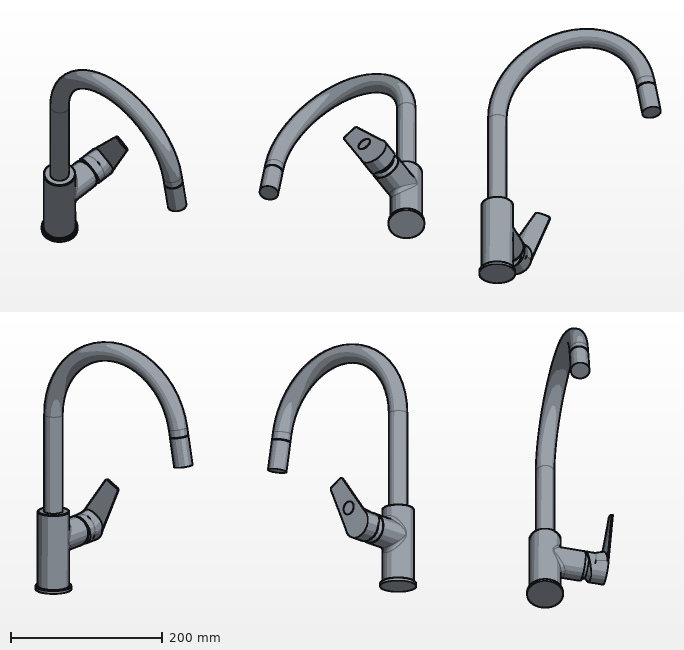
import cadquery as cq
import math

FLANGE_DIAMETER = 48.0
FLANGE_HEIGHT = 5.0
FLANGE_CHAMFER = 1.0
COLUMN_DIAMETER = 42.0
COLUMN_HEIGHT = 107.5
COLUMN_CHAMFER = 1.0

OVERALL_HEIGHT = 357.0
SPOUT_DIAMETER = 25.0
ARCH_RADIUS = 104.0
OUTLET_TILT = 10.0
OUTLET_LENGTH = 51.0
OUTLET_GROOVE_START = 10.5
OUTLET_GROOVE_WIDTH = 1.0
OUTLET_GROOVE_DIAMETER = 24.5
ARCH_CENTRE_HEIGHT = OVERALL_HEIGHT - SPOUT_DIAMETER / 2 - ARCH_RADIUS

ARM_DIAMETER = 40.0
ARM_RADIUS = ARM_DIAMETER / 2
ARM_HEIGHT = 68.0
ARM_END = 50.7
ARM_FILLET = 5.5
SEAT_BASE_RADIUS = 19.0
SEAT_TIP_RADIUS = 15.5
SEAT_LENGTH = 5.0
SEAT_END = ARM_END + SEAT_LENGTH

HANDLE_FACE = 81.8
SKIRT_HIGH_END = 51.5
SKIRT_LOW_END = 63.2
NECK_START = 61.8
LEVER_ANGLE = 60.0
LEVER_REACH = 74.3
LEVER_TIP_WIDTH = 23.0
LEVER_ROOT_HALF_WIDTH = 19.5
LEVER_RIM_THICKNESS = 2.0
LEVER_TIP_THICKNESS = 3.2
LEVER_ROOT_THICKNESS = 8.5
LEVER_CORNER_RADIUS = 3.2
FLARE_START = 64.3
FLARE_END_RADIUS = 18.5
FLARE_OFFSET = 6.5
BADGE_DIAMETER = 18.0
BADGE_HEIGHT = 0.7
BADGE_REACH = 28.0


def revolve_along_y(profile):
    """Turn (radius, y) points about the Y axis."""
    return cq.Workplane("XY").polyline(profile).close().revolve(360, (0, 0, 0), (0, 1, 0))


def make_column():
    flange = cq.Workplane("XY").circle(FLANGE_DIAMETER / 2).extrude(FLANGE_HEIGHT)
    flange = flange.faces(">Z").chamfer(FLANGE_CHAMFER)
    barrel = cq.Workplane("XY").circle(COLUMN_DIAMETER / 2).extrude(COLUMN_HEIGHT)
    barrel = barrel.faces(">Z").chamfer(COLUMN_CHAMFER)
    return flange, barrel


def make_spout():
    tilt = math.radians(OUTLET_TILT)
    arch_end = (
        ARCH_RADIUS * (1 + math.cos(tilt)),
        ARCH_CENTRE_HEIGHT + ARCH_RADIUS * math.sin(tilt),
    )
    path = (
        cq.Workplane("XZ")
        .moveTo(0, COLUMN_HEIGHT)
        .lineTo(0, ARCH_CENTRE_HEIGHT)
        .threePointArc((ARCH_RADIUS, ARCH_CENTRE_HEIGHT + ARCH_RADIUS), arch_end)
    )
    pipe = cq.Workplane("XY", origin=(0, 0, COLUMN_HEIGHT)).circle(SPOUT_DIAMETER / 2).sweep(path)

    outlet_plane = cq.Plane(
        origin=(arch_end[0], 0, arch_end[1]),
        xDir=(0, 1, 0),
        normal=(math.sin(tilt), 0, -math.cos(tilt)),
    )
    outlet = cq.Workplane(outlet_plane).circle(SPOUT_DIAMETER / 2).extrude(OUTLET_LENGTH)
    groove = (
        cq.Workplane(outlet_plane)
        .workplane(offset=OUTLET_GROOVE_START)
        .circle(SPOUT_DIAMETER / 2)
        .circle(OUTLET_GROOVE_DIAMETER / 2)
        .extrude(OUTLET_GROOVE_WIDTH)
    )
    return pipe.union(outlet.cut(groove))


def make_seat():
    seat = revolve_along_y(
        [(0, ARM_END), (SEAT_BASE_RADIUS, ARM_END), (SEAT_TIP_RADIUS, SEAT_END), (0, SEAT_END)]
    )
    return seat.translate((0, 0, ARM_HEIGHT))


def make_faucet():
    flange, barrel = make_column()
    arm = revolve_along_y([(0, 0), (ARM_RADIUS, 0), (ARM_RADIUS, ARM_END), (0, ARM_END)])
    faucet = barrel.union(arm.translate((0, 0, ARM_HEIGHT)))
    joint = cq.selectors.BoxSelector(
        (-COLUMN_DIAMETER, 0.5, ARM_HEIGHT - COLUMN_DIAMETER / 2),
        (COLUMN_DIAMETER, COLUMN_DIAMETER / 2 + 0.5, ARM_HEIGHT + COLUMN_DIAMETER / 2),
    )
    faucet = faucet.edges(joint).edges("not %LINE").fillet(ARM_FILLET)
    return faucet.union(flange).union(make_seat()).union(make_spout())


def make_hub():
    barrel = revolve_along_y(
        [(0, ARM_END), (ARM_RADIUS, ARM_END), (ARM_RADIUS, HANDLE_FACE), (0, HANDLE_FACE)]
    )
    skirt_side = (
        cq.Workplane("YZ")
        .polyline(
            [
                (SKIRT_LOW_END, -ARM_RADIUS),
                (HANDLE_FACE, -ARM_RADIUS),
                (HANDLE_FACE, ARM_RADIUS),
                (SKIRT_HIGH_END, ARM_RADIUS),
            ]
        )
        .close()
        .extrude(ARM_RADIUS, both=True)
    )
    neck = revolve_along_y(
        [
            (0, SEAT_END),
            (SEAT_TIP_RADIUS, SEAT_END),
            (ARM_RADIUS, NECK_START),
            (ARM_RADIUS, HANDLE_FACE),
            (0, HANDLE_FACE),
        ]
    )
    return barrel.intersect(skirt_side).union(neck)


def make_lever_outline():
    half_tip = LEVER_TIP_WIDTH / 2
    outline = (
        cq.Workplane("XZ", origin=(0, HANDLE_FACE, 0))
        .moveTo(LEVER_ROOT_HALF_WIDTH, 0)
        .lineTo(half_tip, LEVER_REACH)
        .lineTo(-half_tip, LEVER_REACH)
        .lineTo(-LEVER_ROOT_HALF_WIDTH, 0)
        .close()
        .extrude(HANDLE_FACE - ARM_END)
    )
    return outline.edges("|Y").edges(">Z").fillet(LEVER_CORNER_RADIUS)


def make_lever():
    """Lever with a flat face and a crowned back that thins towards the tip."""
    rim_y = HANDLE_FACE - LEVER_RIM_THICKNESS
    sections = [
        (0, LEVER_ROOT_HALF_WIDTH, LEVER_ROOT_THICKNESS),
        (LEVER_REACH, LEVER_TIP_WIDTH / 2, LEVER_TIP_THICKNESS),
    ]
    wires = []
    for reach, half_width, thickness in sections:
        section = (
            cq.Workplane("XY", origin=(0, 0, reach))
            .moveTo(half_width, rim_y)
            .lineTo(half_width, HANDLE_FACE)
            .lineTo(-half_width, HANDLE_FACE)
            .lineTo(-half_width, rim_y)
            .threePointArc((0, HANDLE_FACE - thickness), (half_width, rim_y))
            .close()
        )
        wires.append(section.val())
    lever = cq.Workplane(cq.Solid.makeLoft(wires, True))
    return lever.intersect(make_lever_outline())


def make_root_flare():
    """Slanted cone that leans from the hub out to the back of the lever."""
    flare_length = HANDLE_FACE - LEVER_RIM_THICKNESS - FLARE_START
    return (
        cq.Workplane("XZ", origin=(0, FLARE_START, 0))
        .circle(ARM_RADIUS)
        .workplane(offset=-flare_length)
        .center(0, FLARE_OFFSET)
        .circle(FLARE_END_RADIUS)
        .loft(ruled=True)
    )


def make_badge():
    return (
        cq.Workplane("XZ", origin=(0, HANDLE_FACE, 0))
        .center(0, BADGE_REACH)
        .circle(BADGE_DIAMETER / 2)
        .extrude(-BADGE_HEIGHT)
    )


def make_handle():
    handle = make_hub().union(make_lever()).union(make_root_flare()).union(make_badge())
    handle = handle.rotate((0, 0, 0), (0, 1, 0), 90 - LEVER_ANGLE)
    return handle.translate((0, 0, ARM_HEIGHT)).cut(make_seat())


faucet = make_faucet()
handle = make_handle()
result = cq.Compound.makeCompound([faucet.val(), handle.val()])